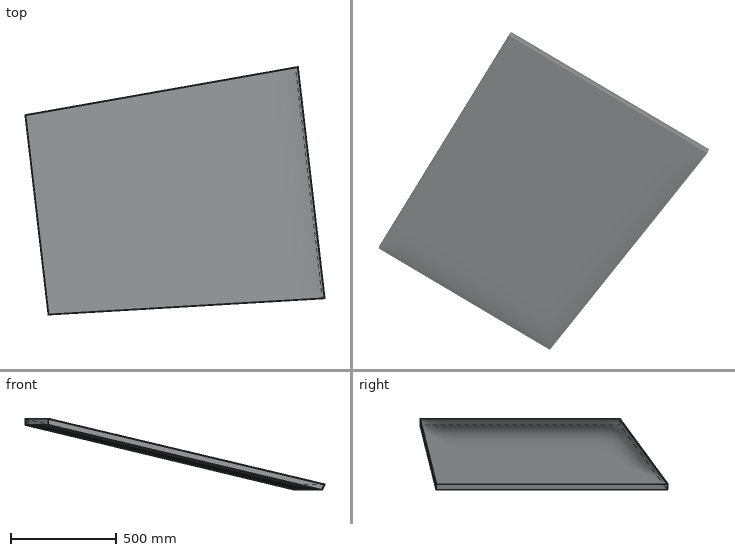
import cadquery as cq

span = 1314.0
high_edge = 955.0
front_flare = 74.0
back_flare = 78.0
height = 339.0
thickness = 30.0
end_undercut = 13.0
heading = 6.6

slope = (height - thickness) / (span - end_undercut)
low_top = height - slope * span
low_front = -front_flare
low_back = high_edge + back_flare


def sloping_slab():
    """Slab with the side profile of the plate, as wide as its low edge."""
    profile = [
        (0, height),
        (span, low_top),
        (span - end_undercut, 0),
        (0, height - thickness),
    ]
    return (
        cq.Workplane("XZ", origin=(0, low_back, 0))
        .polyline(profile)
        .close()
        .extrude(low_back - low_front)
    )


def footprint():
    """Vertical prism over the trapezoidal outline of the plate."""
    outline = [(0, 0), (span, low_front), (span, low_back), (0, high_edge)]
    return cq.Workplane("XY").polyline(outline).close().extrude(height)


plate = sloping_slab().intersect(footprint())
result = plate.rotate((0, 0, 0), (0, 0, 1), heading)